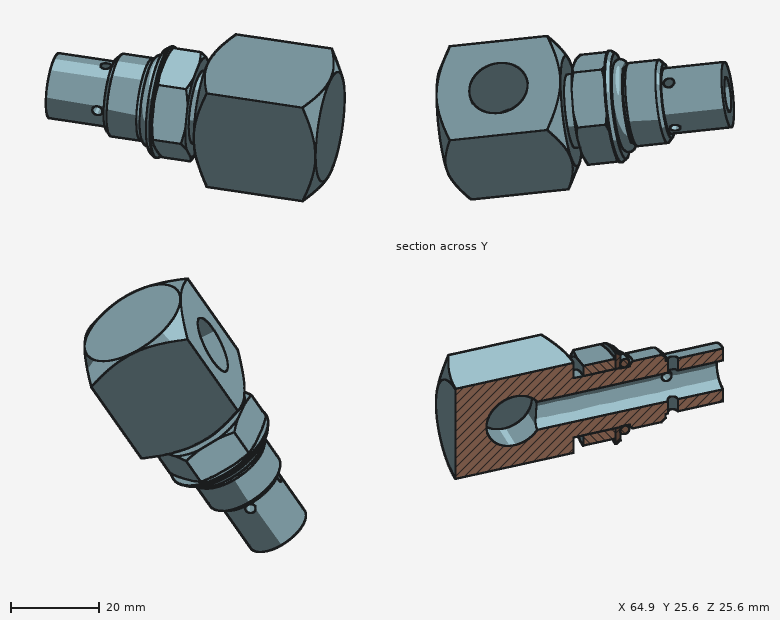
import cadquery as cq
import math


overall_length = 64.9
nose_x = -overall_length / 2
cross_hole_x = nose_x + 12.15
shoulder_x = nose_x + 13.88
shoulder_end_x = nose_x + 22.6
head_end_x = overall_length / 2
head_length = 28.7
head_x = head_end_x - head_length

nose_dia = 14.99
shoulder_dia = 19.05
ring_groove_dia = 16.46
neck_dia = 16.82
front_shoulder_chamfer = 1.0
rear_shoulder_chamfer = 0.75

bore_mouth_dia = 8.0
bore_inner_dia = 7.7
cross_hole_dia = 2.39
port_dia = 13.49
port_x = head_x + head_length / 2
port_floor_y = -port_dia / 2

head_width = 25.4
head_chamfer_angle = math.radians(30)
head_chamfer_start_radius = 12.6

washer_dia = 25.65
washer_x = nose_x + 24.8
washer_thickness = 1.3
washer_face_radius = 12.05
washer_rim_thickness = 0.25

nut_x = washer_x + washer_thickness
nut_length = 7.8
nut_across_flats = 22.22
nut_corner_radius = nut_across_flats / math.sqrt(3)
nut_turn = 9.33
nut_chamfer_start_radius = 11.4
nut_front_chamfer = 0.55
nut_rear_chamfer = 0.7

ring_section_dia = 2.39
ring_centre_radius = (ring_groove_dia + ring_section_dia) / 2
ring_x = nose_x + 23.85


def revolve_about_x(points):
    """Revolve a closed outline of (x, radius) points about the X axis."""
    return cq.Workplane("XY").polyline(points).close().revolve(360, (0, 0, 0), (1, 0, 0))


def barrel(x_start, x_end, end_radius, outer_radius, front_chamfer, rear_chamfer):
    """Cylinder with a conical chamfer at each end, used to round off prism corners."""
    return revolve_about_x([
        (x_start, 0),
        (x_start, end_radius),
        (x_start + front_chamfer, outer_radius),
        (x_end - rear_chamfer, outer_radius),
        (x_end, end_radius),
        (x_end, 0),
    ])


def make_stem():
    nose_radius = nose_dia / 2
    shoulder_radius = shoulder_dia / 2
    groove_radius = ring_groove_dia / 2
    neck_radius = neck_dia / 2
    shaft = revolve_about_x([
        (nose_x, 0),
        (nose_x, nose_radius),
        (shoulder_x, nose_radius),
        (shoulder_x, shoulder_radius - front_shoulder_chamfer),
        (shoulder_x + front_shoulder_chamfer, shoulder_radius),
        (shoulder_end_x - rear_shoulder_chamfer, shoulder_radius),
        (shoulder_end_x, shoulder_radius - rear_shoulder_chamfer),
        (shoulder_end_x, groove_radius),
        (washer_x, groove_radius),
        (washer_x, neck_radius),
        (head_x, neck_radius),
        (head_x, 0),
    ])

    square = cq.Workplane("YZ", origin=(head_x, 0, 0)).rect(head_width, head_width).extrude(head_length)
    corner_radius = head_width / math.sqrt(2)
    chamfer = (corner_radius - head_chamfer_start_radius) * math.tan(head_chamfer_angle)
    envelope = barrel(head_x, head_end_x, head_chamfer_start_radius, corner_radius, chamfer, chamfer)
    stem = shaft.union(square.intersect(envelope))

    bore = revolve_about_x([
        (nose_x, 0),
        (nose_x, bore_mouth_dia / 2),
        (port_x, bore_inner_dia / 2),
        (port_x, 0),
    ])
    stem = stem.cut(bore)
    head_face_y = head_width / 2
    port = (
        cq.Workplane("XZ", origin=(port_x, head_face_y, 0))
        .circle(port_dia / 2)
        .extrude(head_face_y - port_floor_y)
    )
    stem = stem.cut(port)

    for plane in ("XZ", "XY"):
        drill = (
            cq.Workplane(plane, origin=(cross_hole_x, 0, 0))
            .circle(cross_hole_dia / 2)
            .extrude(nose_dia, both=True)
        )
        stem = stem.cut(drill)
    return stem


def make_o_ring():
    return (
        cq.Workplane("XY")
        .moveTo(ring_x, ring_centre_radius)
        .circle(ring_section_dia / 2)
        .revolve(360, (0, 0, 0), (1, 0, 0))
    )


def make_washer():
    washer_end_x = washer_x + washer_thickness
    bore_radius = neck_dia / 2
    outer_radius = washer_dia / 2
    washer = revolve_about_x([
        (washer_x, bore_radius),
        (washer_x, washer_face_radius),
        (washer_end_x - washer_rim_thickness, outer_radius),
        (washer_end_x, outer_radius),
        (washer_end_x, bore_radius),
    ])
    return washer.cut(make_o_ring())


def make_nut():
    nut_end_x = nut_x + nut_length
    prism = (
        cq.Workplane("YZ", origin=(nut_x, 0, 0))
        .polygon(6, 2 * nut_corner_radius)
        .extrude(nut_length)
        .rotate((0, 0, 0), (1, 0, 0), nut_turn)
    )
    envelope = barrel(
        nut_x, nut_end_x, nut_chamfer_start_radius, nut_corner_radius, nut_front_chamfer, nut_rear_chamfer
    )
    neck_hole = cq.Workplane("YZ", origin=(nut_x, 0, 0)).circle(neck_dia / 2).extrude(nut_length)
    return prism.intersect(envelope).cut(neck_hole)


stem = make_stem()
o_ring = make_o_ring()
washer = make_washer()
nut = make_nut()

result = cq.Compound.makeCompound([stem.val(), o_ring.val(), washer.val(), nut.val()])